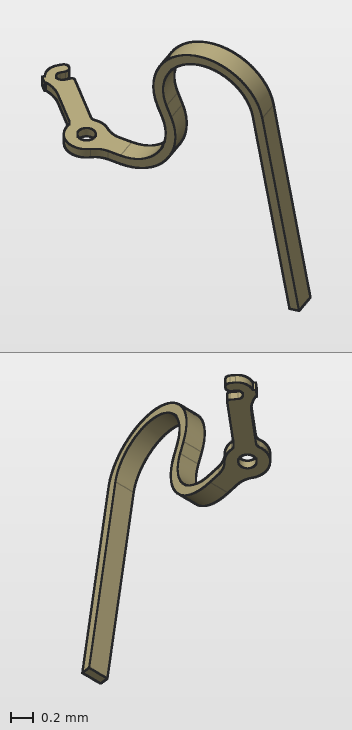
import cadquery as cq
import math

thickness = 0.1
strip_width = 0.21

hole_diameter = 0.165
eyelet_radius = 0.203
strip_blend_radius = 0.235
arm_blend_radius = 0.06

arm_angle = 135.0
arm_width = 0.2
slot_distance = 0.808
slot_radius = 0.05
slot_corner_radius = 0.03
hook_radius = 0.15
tip_reach = 0.047
tip_width = 0.1

stub_width = 0.082
stub_reach = 0.17
stub_step = 0.012
stub_blend_length = 0.188

bend_start_x = 0.403
inner_bend_radius = 0.46
link_length = 0.125
link_tilt = 22.5
leg_length = 2.152
leg_tilt = 10.0

outer_bend_radius = inner_bend_radius + thickness
middle_bend_radius = inner_bend_radius + thickness / 2


def polar(center, radius, degrees):
    """Point at a given radius and angle from a centre."""
    angle = math.radians(degrees)
    return (center[0] + radius * math.cos(angle), center[1] + radius * math.sin(angle))


def blended_band(half_width, blend_radius, length):
    """Band along +X from the eyelet, its two edges blended into the eyelet by concave arcs."""
    center_y = half_width + blend_radius
    center_x = math.sqrt((eyelet_radius + blend_radius) ** 2 - center_y**2)
    touch_angle = math.degrees(math.atan2(center_y, center_x))
    touch_x, touch_y = polar((0, 0), eyelet_radius, touch_angle)
    blend_mid_angle = (touch_angle + 180 + 270) / 2
    mid_x, mid_y = polar((center_x, center_y), blend_radius, blend_mid_angle)
    return (
        cq.Workplane("XY")
        .moveTo(0, 0)
        .lineTo(touch_x, touch_y)
        .threePointArc((mid_x, mid_y), (center_x, half_width))
        .lineTo(length, half_width)
        .lineTo(length, -half_width)
        .lineTo(center_x, -half_width)
        .threePointArc((mid_x, -mid_y), (touch_x, -touch_y))
        .close()
        .extrude(thickness)
    )


def hook_end():
    """Hook with its arm along +X; the slot opens toward -Y and the stub points to +Y."""
    half_arm = arm_width / 2
    slot_center = (slot_distance, 0)
    slot_near = slot_distance - slot_radius
    slot_far = slot_distance + slot_radius
    hook_far = slot_far + tip_width
    tip_end = -tip_reach - tip_width / 2

    stub_near = slot_distance - stub_width / 2
    stub_far = slot_distance + stub_width / 2
    blend_start = stub_near - stub_blend_length
    blend_rise = stub_reach - stub_step - half_arm
    blend_radius = (stub_blend_length**2 + blend_rise**2) / (2 * blend_rise)
    blend_turn = math.degrees(math.asin(stub_blend_length / blend_radius))
    blend_mid = polar((blend_start, half_arm + blend_radius), blend_radius, blend_turn / 2 - 90)

    stub_foot_angle = math.degrees(math.acos(stub_width / 2 / hook_radius))
    corner_mid = polar(
        (slot_near - slot_corner_radius, slot_corner_radius - half_arm), slot_corner_radius, -45
    )
    return (
        cq.Workplane("XY")
        .moveTo(blend_start, -half_arm)
        .lineTo(slot_near - slot_corner_radius, -half_arm)
        .threePointArc(corner_mid, (slot_near, slot_corner_radius - half_arm))
        .lineTo(slot_near, 0)
        .threePointArc((slot_distance, slot_radius), (slot_far, 0))
        .lineTo(slot_far, -tip_reach)
        .threePointArc(((slot_far + hook_far) / 2, tip_end), (hook_far, -tip_reach))
        .lineTo(hook_far, 0)
        .threePointArc(
            polar(slot_center, hook_radius, stub_foot_angle / 2),
            polar(slot_center, hook_radius, stub_foot_angle),
        )
        .lineTo(stub_far, stub_reach)
        .lineTo(stub_near, stub_reach)
        .lineTo(stub_near, stub_reach - stub_step)
        .threePointArc(blend_mid, (blend_start, half_arm))
        .close()
        .extrude(thickness)
    )


def flat_tab():
    """Eyelet, strip root and hooked arm in one flat plate."""
    arm_length = slot_distance - slot_radius - slot_corner_radius - stub_blend_length / 2
    arm = blended_band(arm_width / 2, arm_blend_radius, arm_length).union(hook_end())
    arm = arm.rotate((0, 0, 0), (0, 0, 1), arm_angle)
    root = blended_band(strip_width / 2, strip_blend_radius, bend_start_x)
    eyelet = cq.Workplane("XY").circle(eyelet_radius).extrude(thickness)
    hole = cq.Workplane("XY").circle(hole_diameter / 2).extrude(thickness)
    return eyelet.union(root).union(arm).cut(hole)


def bent_strip():
    """S-bend and leg, drawn in the XZ plane and extruded evenly to both sides."""
    tilt = math.radians(link_tilt)
    lower = (bend_start_x, outer_bend_radius)
    upper = (
        lower[0] + 2 * middle_bend_radius * math.cos(tilt) - link_length * math.sin(tilt),
        lower[1] + 2 * middle_bend_radius * math.sin(tilt) + link_length * math.cos(tilt),
    )
    lower_mid = (link_tilt - 90) / 2
    link_side = link_tilt + 180
    upper_mid = (link_side + leg_tilt) / 2
    leg_outer = polar(upper, outer_bend_radius, leg_tilt)
    leg_inner = polar(upper, inner_bend_radius, leg_tilt)
    return (
        cq.Workplane("XZ")
        .moveTo(bend_start_x, 0)
        .threePointArc(
            polar(lower, outer_bend_radius, lower_mid), polar(lower, outer_bend_radius, link_tilt)
        )
        .lineTo(*polar(upper, inner_bend_radius, link_side))
        .threePointArc(polar(upper, inner_bend_radius, upper_mid), leg_inner)
        .lineTo(*polar(leg_inner, leg_length, leg_tilt - 90))
        .lineTo(*polar(leg_outer, leg_length, leg_tilt - 90))
        .lineTo(*leg_outer)
        .threePointArc(
            polar(upper, outer_bend_radius, upper_mid), polar(upper, outer_bend_radius, link_side)
        )
        .lineTo(*polar(lower, inner_bend_radius, link_tilt))
        .threePointArc(polar(lower, inner_bend_radius, lower_mid), (bend_start_x, thickness))
        .close()
        .extrude(strip_width / 2, both=True)
    )


result = flat_tab().union(bent_strip())